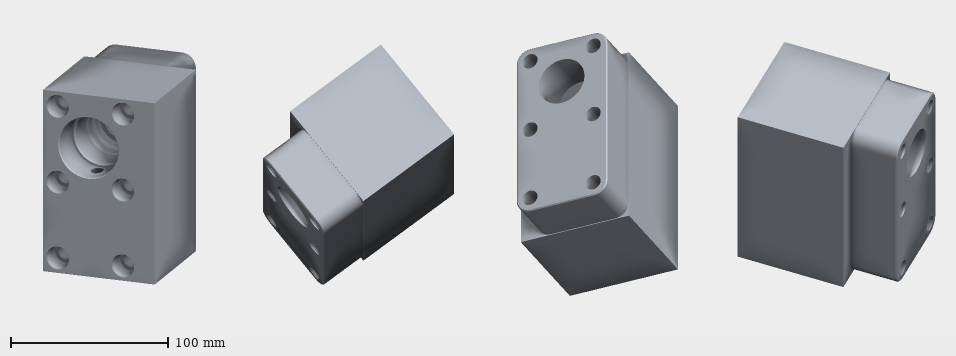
import cadquery as cq
import math

BLOCK_WIDTH = 76.1
BLOCK_DEPTH = 73.0
BLOCK_HEIGHT = 121.5

TOTAL_DEPTH = 104.8
BODY_INSET = 0.5
BODY_WIDTH = 63.6
BODY_HEIGHT = BLOCK_HEIGHT - 2 * BODY_INSET
BODY_CORNER_RADIUS = 9.5
BODY_EDGE_CHAMFER = 0.7
BODY_CENTER_X = BODY_INSET + BODY_WIDTH / 2

BOLT_COLUMN_SPACING = 44.5
BOLT_ROW_SPACING = 50.8
BOLT_HOLE_DIAMETER = 10.5
COUNTERBORE_DIAMETER = 15.3
COUNTERBORE_DEPTH = 14.6

CAVITY_X = 31.0
CAVITY_Z = BLOCK_HEIGHT / 2 + BOLT_ROW_SPACING / 2
MAIN_RADIUS = 20.0
MAIN_DEPTH = 23.3
STEP_RADIUS = 18.1
STEP_DEPTH = 43.7
SEAT_RADIUS = 17.1
SEAT_DEPTH = 51.0
SEAT_CONE_LENGTH = 1.0
NOSE_RADIUS = 15.5
NOSE_DEPTH = 60.7
THROUGH_RADIUS = 12.8
LEAD_IN_WIDTH = 0.6
LEAD_IN_DEPTH = 0.7

OPENING_RADIUS = 16.0
OPENING_RISE = 4.7
OPENING_COUNTERSINK = 2.0

PASSAGE_DIAMETER = 8.0
PASSAGE_Y = 15.8
PASSAGE_ANGLE = 45.0
PASSAGE_LENGTH = 36.4
PASSAGE_OVERLAP = 9.7


def make_block():
    return cq.Workplane("XY").box(BLOCK_WIDTH, BLOCK_DEPTH, BLOCK_HEIGHT, centered=False)


def make_rear_body():
    return (
        cq.Workplane("XZ", origin=(BODY_CENTER_X, TOTAL_DEPTH, BLOCK_HEIGHT / 2))
        .rect(BODY_WIDTH, BODY_HEIGHT)
        .extrude(TOTAL_DEPTH - BLOCK_DEPTH)
        .edges("|Y")
        .fillet(BODY_CORNER_RADIUS)
        .faces(">Y")
        .chamfer(BODY_EDGE_CHAMFER)
    )


def drill_bolt_holes(part):
    return (
        part.copyWorkplane(cq.Workplane("XZ", origin=(BODY_CENTER_X, 0, BLOCK_HEIGHT / 2)))
        .rarray(BOLT_COLUMN_SPACING, BOLT_ROW_SPACING, 2, 3)
        .cboreHole(BOLT_HOLE_DIAMETER, COUNTERBORE_DIAMETER, COUNTERBORE_DEPTH)
    )


def revolve_about_y(profile, x, z):
    """Solid of revolution about a Y-parallel axis; profile points are (radius, y)."""
    return (
        cq.Workplane("XY", origin=(x, 0, z))
        .polyline(profile)
        .close()
        .revolve(360, (0, 0), (0, 1))
    )


def make_cavity():
    profile = [
        (0, 0),
        (MAIN_RADIUS + LEAD_IN_WIDTH, 0),
        (MAIN_RADIUS, LEAD_IN_DEPTH),
        (MAIN_RADIUS, MAIN_DEPTH),
        (STEP_RADIUS + LEAD_IN_WIDTH, MAIN_DEPTH),
        (STEP_RADIUS, MAIN_DEPTH + LEAD_IN_DEPTH),
        (STEP_RADIUS, STEP_DEPTH),
        (SEAT_RADIUS, STEP_DEPTH + SEAT_CONE_LENGTH),
        (SEAT_RADIUS, SEAT_DEPTH),
        (NOSE_RADIUS + LEAD_IN_WIDTH, SEAT_DEPTH + SEAT_CONE_LENGTH),
        (NOSE_RADIUS, SEAT_DEPTH + SEAT_CONE_LENGTH + LEAD_IN_DEPTH),
        (NOSE_RADIUS, NOSE_DEPTH),
        (THROUGH_RADIUS, NOSE_DEPTH),
        (THROUGH_RADIUS, BLOCK_DEPTH),
        (0, BLOCK_DEPTH),
    ]
    return revolve_about_y(profile, CAVITY_X, CAVITY_Z)


def make_rear_opening():
    profile = [
        (0, BLOCK_DEPTH),
        (OPENING_RADIUS + OPENING_COUNTERSINK, BLOCK_DEPTH),
        (OPENING_RADIUS, BLOCK_DEPTH + OPENING_COUNTERSINK),
        (OPENING_RADIUS, TOTAL_DEPTH),
        (0, TOTAL_DEPTH),
    ]
    return revolve_about_y(profile, BODY_CENTER_X, CAVITY_Z + OPENING_RISE)


def make_passage():
    angle = math.radians(PASSAGE_ANGLE)
    axis = cq.Vector(0, math.cos(angle), -math.sin(angle))
    wall_point = cq.Vector(CAVITY_X, PASSAGE_Y, CAVITY_Z - MAIN_RADIUS)
    start = wall_point - axis * PASSAGE_OVERLAP
    return cq.Solid.makeCylinder(PASSAGE_DIAMETER / 2, PASSAGE_OVERLAP + PASSAGE_LENGTH, start, axis)


result = drill_bolt_holes(make_block().union(make_rear_body()))
result = result.cut(make_cavity()).cut(make_rear_opening()).cut(make_passage())